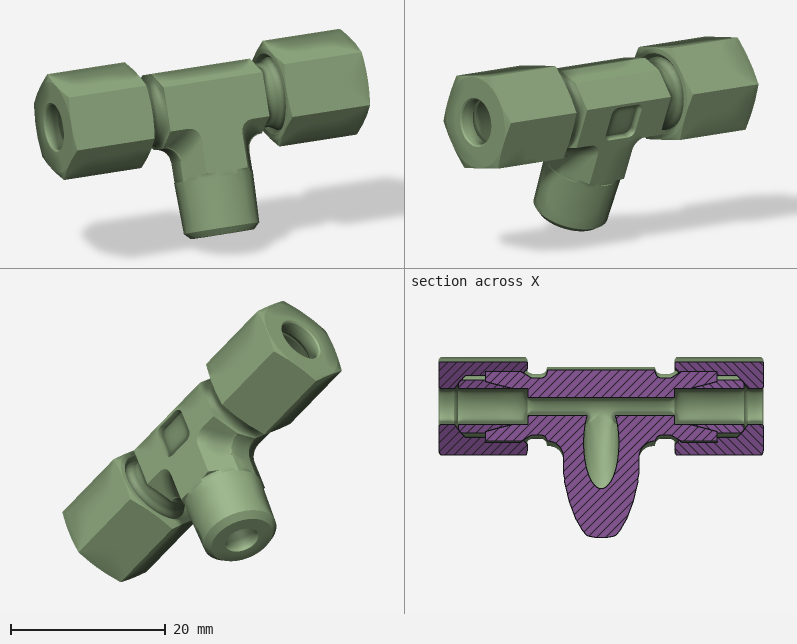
import cadquery as cq
import math

BRANCH_TILT = -22.5

TOLERANCE = 0.01

BAR_FLATS = 10.0
BAR_CORNER_CUT = 4.9
RUN_HALF = 7.0
CROTCH_FILLET = 2.0

THREAD_DIA = 10.0
NECK_DIA = 8.4
NECK_FILLET = 0.8
RUNOUT_ANGLE = 30.0
NECK_END = 8.8
BODY_END = 15.0
TUBE_DIA = 6.0
TUBE_STOP = 9.5
FLOW_DIA = 4.5
SEAT_MOUTH_DIA = 7.5
SEAT_HALF_ANGLE = 12.0

BRANCH_END = 17.0
BRANCH_TURNED = 9.0
BRANCH_THREAD_START = 9.5
GAUGE_FROM_END = 2.5
TAPER = 1 / 32
TIP_CHAMFER = 0.8

POCKET_SIZE = 5.0
POCKET_CORNER = 1.0
POCKET_DEPTH = 1.0

NUT_FLATS = 12.0
NUT_START = 9.5
NUT_END = 21.0
NUT_FACE_DIA = 11.9
NUT_CHAMFER_ANGLE = 15.0
NUT_MOUTH_DIA = 10.6
NUT_RELIEF_DIA = 8.92
NUT_HOLE_START = 19.0
NUT_HOLE_CHAMFER = 0.2

RING_DIA = 8.0
RING_END = 18.5


def tan(degrees):
    return math.tan(math.radians(degrees))


def hexagon(plane, across_flats):
    """Hexagon with two flats facing +X and -X."""
    corner_dia = across_flats / math.cos(math.radians(30))
    return cq.Workplane(plane).transformed(rotate=(0, 0, 90)).polygon(6, corner_dia)


def turned(points):
    """Solid turned about the Y axis from a list of (radius, y) points."""
    return cq.Workplane("XY").polyline(points).close().revolve(360, (0, 0), (0, 1))


def mirror_y(shape):
    return shape.mirror("XZ")


def branch_bar(top, bottom):
    """Length of branch bar between two distances from the run axis."""
    bar = hexagon("XY", BAR_FLATS).extrude(top - bottom).translate((0, 0, -top))
    return bar.intersect(cq.Workplane().box(2 * BAR_FLATS, 2 * BAR_CORNER_CUT, 2 * BRANCH_END))


def is_crotch(edge):
    """True for the edges where the run meets the branch, which lie on |y| = -z."""
    middle = edge.Center()
    return abs(abs(middle.y) + middle.z) < TOLERANCE


def tee_bar():
    """Run and branch bars joined by fillets."""
    run = hexagon("XZ", BAR_FLATS).extrude(RUN_HALF, both=True)
    run = run.intersect(cq.Workplane().box(2 * BAR_FLATS, 2 * RUN_HALF, 2 * BAR_CORNER_CUT))
    bar = run.union(branch_bar(0, BRANCH_TURNED)).clean()
    crotch = [edge for edge in bar.edges().vals() if is_crotch(edge)]
    return bar.newObject(crotch).fillet(CROTCH_FILLET)


def branch_radius(distance):
    """Taper thread radius at a distance from the run axis."""
    return THREAD_DIA / 2 + (BRANCH_END - GAUGE_FROM_END - distance) * TAPER


def branch_thread():
    """Tapered spigot, still showing the flats of the bar next to its start."""
    chamfer = BRANCH_END - TIP_CHAMFER
    profile = [
        (0, -BRANCH_TURNED),
        (branch_radius(BRANCH_TURNED), -BRANCH_TURNED),
        (branch_radius(chamfer), -chamfer),
        (branch_radius(chamfer) - TIP_CHAMFER, -BRANCH_END),
        (0, -BRANCH_END),
    ]
    spigot = cq.Workplane("XZ").polyline(profile).close().revolve(360, (0, 0), (0, 1))
    outside_flats = (
        cq.Workplane("XY", origin=(0, 0, -BRANCH_TURNED))
        .circle(BAR_FLATS)
        .extrude(BRANCH_TURNED - BRANCH_THREAD_START)
        .cut(branch_bar(BRANCH_TURNED, BRANCH_THREAD_START))
    )
    return spigot.cut(outside_flats)


def neck_arc(angle):
    """Point on the neck's outer fillet after turning by an angle from the straight neck."""
    turn = math.radians(angle)
    return (NECK_DIA / 2 + NECK_FILLET * (1 - math.cos(turn)), NECK_END + NECK_FILLET * math.sin(turn))


RUNOUT_START_RADIUS, RUNOUT_START = neck_arc(RUNOUT_ANGLE)
THREAD_START = RUNOUT_START + (THREAD_DIA / 2 - RUNOUT_START_RADIUS) / tan(RUNOUT_ANGLE)


def run_end():
    """Neck, thread run-out and threaded spigot on the +Y side, rooted in the middle of the run bar."""
    neck = NECK_DIA / 2
    thread = THREAD_DIA / 2
    root_step = NECK_FILLET * (1 - math.sqrt(0.5))
    spigot = (
        cq.Workplane("XY")
        .lineTo(neck + NECK_FILLET, 0)
        .lineTo(neck + NECK_FILLET, RUN_HALF)
        .threePointArc((neck + root_step, RUN_HALF + root_step), (neck, RUN_HALF + NECK_FILLET))
        .lineTo(neck, NECK_END)
        .threePointArc(neck_arc(RUNOUT_ANGLE / 2), neck_arc(RUNOUT_ANGLE))
        .lineTo(thread, THREAD_START)
        .lineTo(thread, BODY_END)
        .lineTo(0, BODY_END)
        .close()
        .revolve(360, (0, 0), (0, 1))
    )
    return spigot.intersect(cq.Workplane().box(2 * BAR_FLATS, 2 * BODY_END, 2 * BAR_CORNER_CUT))


SEAT_START = BODY_END - (SEAT_MOUTH_DIA - TUBE_DIA) / 2 / tan(SEAT_HALF_ANGLE)


def socket():
    """Flow bore, tube socket and conical ring seat on the +Y side."""
    return turned([
        (0, 0),
        (FLOW_DIA / 2, 0),
        (FLOW_DIA / 2, TUBE_STOP),
        (TUBE_DIA / 2, TUBE_STOP),
        (TUBE_DIA / 2, SEAT_START),
        (SEAT_MOUTH_DIA / 2, BODY_END),
        (0, BODY_END),
    ])


def marking_pocket():
    return (
        cq.Workplane("YZ", origin=(-BAR_FLATS / 2, 0, 0))
        .rect(POCKET_SIZE, POCKET_SIZE)
        .extrude(POCKET_DEPTH)
        .edges("|X")
        .fillet(POCKET_CORNER)
    )


def make_body():
    branch_bore = cq.Workplane("XY").circle(FLOW_DIA / 2).extrude(-BRANCH_END)
    body = tee_bar().union(branch_thread())
    body = body.union(run_end()).union(mirror_y(run_end()))
    body = body.cut(socket()).cut(mirror_y(socket()))
    return body.cut(branch_bore).cut(marking_pocket())


def make_nut():
    corner = NUT_FLATS / 2 / math.cos(math.radians(30))
    face = NUT_FACE_DIA / 2
    chamfer = (corner - face) * tan(NUT_CHAMFER_ANGLE)
    envelope = turned([
        (0, NUT_START),
        (face, NUT_START),
        (corner, NUT_START + chamfer),
        (corner, NUT_END - chamfer),
        (face, NUT_END),
        (0, NUT_END),
    ])
    thread = THREAD_DIA / 2
    mouth = NUT_MOUTH_DIA / 2
    relief = NUT_RELIEF_DIA / 2
    hole = TUBE_DIA / 2
    runout = RUNOUT_START_RADIUS + (NUT_START - RUNOUT_START) * tan(RUNOUT_ANGLE)
    mouth_depth = (mouth - runout) / (1 + tan(RUNOUT_ANGLE))
    cavity = turned([
        (0, NUT_START),
        (mouth, NUT_START),
        (mouth - mouth_depth, NUT_START + mouth_depth),
        (thread, THREAD_START),
        (thread, BODY_END),
        (relief, BODY_END),
        (relief, NUT_HOLE_START - (relief - hole)),
        (hole, NUT_HOLE_START),
        (hole, NUT_END - NUT_HOLE_CHAMFER),
        (hole + NUT_HOLE_CHAMFER, NUT_END),
        (0, NUT_END),
    ])
    blank = hexagon("XZ", NUT_FLATS).extrude(-NUT_END)
    return blank.intersect(envelope).cut(cavity)


def make_ring():
    hole = TUBE_DIA / 2
    outside = RING_DIA / 2
    return turned([
        (hole, SEAT_START),
        (SEAT_MOUTH_DIA / 2, BODY_END),
        (outside, BODY_END),
        (outside, NUT_HOLE_START - (outside - hole)),
        (hole + NUT_HOLE_START - RING_END, RING_END),
        (hole, RING_END),
    ])


body = make_body()
nuts = [make_nut(), mirror_y(make_nut())]
rings = [make_ring(), mirror_y(make_ring())]
parts = [part.rotate((0, 0, 0), (0, 1, 0), BRANCH_TILT) for part in [body, *nuts, *rings]]
result = cq.Compound.makeCompound([solid for part in parts for solid in part.solids().vals()])